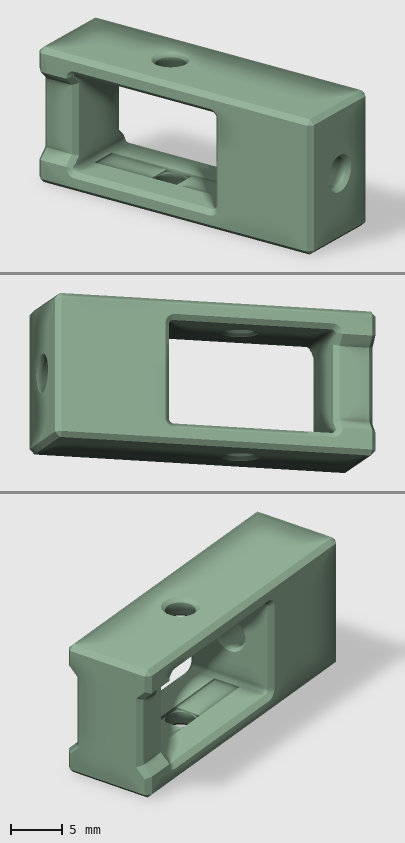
import cadquery as cq
import math

length = 32.5
width = 9.8
height = 14.3

notch_depth = 1.0
notch_floor_height = 7.3
flank_angle = 45

edge_chamfer = notch_depth / 2
flare_taper = -45

window_left = -12.25
window_length = 16.95
window_right = window_left + window_length
window_middle = (window_left + window_right) / 2
window_height = 10.27
window_radius = 0.5

cross_hole_x = -3.77
cross_hole_diameter = 3.0
end_hole_diameter = 3.1
outer_mouth_chamfer = 0.4
inner_mouth_chamfer = 0.3

step_width = cross_hole_diameter
step_depth = 0.2


def window_cutter():
    """Rounded rectangular opening, flared at the -Y and +Y faces."""
    opening = (
        cq.Workplane("XZ", origin=(window_middle, width / 2, 0))
        .rect(window_length, window_height)
        .extrude(width)
        .edges("|Y")
        .fillet(window_radius)
    )
    flare_start = width / 2 - edge_chamfer
    flare = (
        cq.Workplane("XZ", origin=(window_middle, -flare_start, 0))
        .sketch()
        .rect(window_length, window_height)
        .vertices()
        .fillet(window_radius)
        .finalize()
        .extrude(edge_chamfer, taper=flare_taper)
    )
    return opening.union(flare).union(flare.mirror("XZ"))


def notch_cutter():
    """Notch in the -Y face, flared at the -X end and where it meets the window."""
    notch_length = window_left + length / 2
    floor_y = notch_depth - width / 2
    outer_y = -width
    flank_run = floor_y - outer_y

    def section(workplane, offset):
        """Notch outline with its floor and flanks moved outwards by the offset."""
        floor_half = notch_floor_height / 2 + offset * math.tan(math.radians(flank_angle / 2))
        mouth_half = floor_half + (flank_run + offset) / math.tan(math.radians(flank_angle))
        return workplane.polyline([
            (outer_y, -mouth_half),
            (floor_y + offset, -floor_half),
            (floor_y + offset, floor_half),
            (outer_y, mouth_half),
        ]).close()

    def flare(start_offset, end_offset):
        """Stretch of notch, one chamfer long, that changes from one offset to the other."""
        start = section(cq.Workplane("YZ"), start_offset)
        return section(start.workplane(offset=edge_chamfer), end_offset).loft(ruled=True)

    channel = section(cq.Workplane("YZ", origin=(-length / 2, 0, 0)), 0).extrude(notch_length)
    end_flare = flare(edge_chamfer, 0).translate((-length / 2, 0, 0))
    window_flare = flare(0, edge_chamfer).translate((window_left - edge_chamfer, 0, 0))
    return channel.union(end_flare).union(window_flare)


def bore(start, direction, diameter, depth):
    """Round hole cutter."""
    return cq.Workplane(cq.Solid.makeCylinder(diameter / 2, depth, cq.Vector(*start), cq.Vector(*direction)))


def rim_chamfer(mouth, inward, diameter, chamfer):
    """Conical cutter that chamfers a hole mouth and narrows to the hole along the inward direction."""
    radius = diameter / 2
    return cq.Workplane(
        cq.Solid.makeCone(radius + chamfer, radius, chamfer, cq.Vector(*mouth), cq.Vector(*inward))
    )


def bridging_channel():
    """Shallow channel along the flat part of the window floor."""
    channel_length = window_length - 2 * window_radius
    return (
        cq.Workplane("XY", origin=(window_middle, 0, -window_height / 2))
        .rect(channel_length, step_width)
        .extrude(-step_depth)
    )


def bridging_square():
    """Square pocket around the cross hole, one step below the channel."""
    return (
        cq.Workplane("XY", origin=(cross_hole_x, 0, -window_height / 2))
        .rect(step_width, step_width)
        .extrude(-2 * step_depth)
    )


body = cq.Workplane("XY").box(length, width, height).edges().chamfer(edge_chamfer)
body = body.cut(window_cutter())

notch = notch_cutter()
body = body.cut(notch).cut(notch.mirror("XZ"))

body = body.cut(bridging_channel()).cut(bridging_square())

body = body.cut(bore((cross_hole_x, 0, -height / 2), (0, 0, 1), cross_hole_diameter, height))
for mouth_z, inward_z, chamfer in [
    (height / 2, -1, outer_mouth_chamfer),
    (window_height / 2, 1, inner_mouth_chamfer),
    (-height / 2, 1, outer_mouth_chamfer),
]:
    body = body.cut(
        rim_chamfer((cross_hole_x, 0, mouth_z), (0, 0, inward_z), cross_hole_diameter, chamfer)
    )

end_hole_length = length / 2 - window_right
body = body.cut(bore((window_right, 0, 0), (1, 0, 0), end_hole_diameter, end_hole_length))
for mouth_x, inward_x, chamfer in [
    (window_right, 1, inner_mouth_chamfer),
    (length / 2, -1, outer_mouth_chamfer),
]:
    body = body.cut(rim_chamfer((mouth_x, 0, 0), (inward_x, 0, 0), end_hole_diameter, chamfer))

result = body